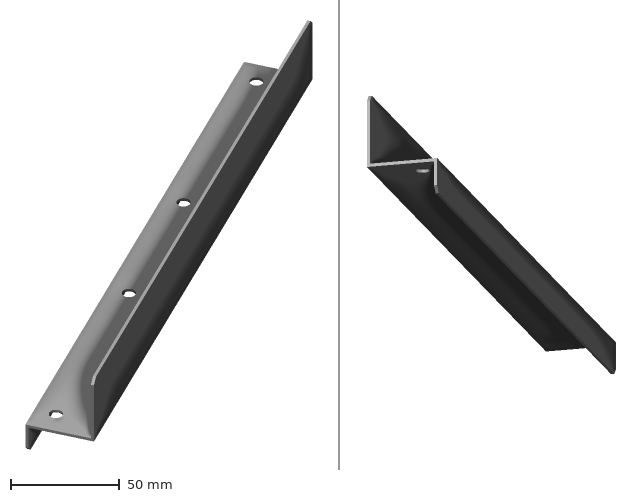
import cadquery as cq

length = 300.0
web_width = 33.5
total_height = 49.5

thickness = 1.5
lower_flange_height = 16.0
corner_chamfer = 3.0

hole_diameter = 6.5
hole_from_lower_flange = 10.5
inner_hole_pitch = 75.0
outer_hole_pitch = 275.0

half_length = length / 2
web_top = lower_flange_height
web_bottom = web_top - thickness


def z_section():
    """Sheet profile: lower flange down at the -X side, upper flange up at the +X side."""
    outline = [
        (0, 0),
        (thickness, 0),
        (thickness, web_bottom),
        (web_width, web_bottom),
        (web_width, total_height),
        (web_width - thickness, total_height),
        (web_width - thickness, web_top),
        (0, web_top),
    ]
    return cq.Workplane("XZ").polyline(outline).close().extrude(half_length, both=True)


def chamfer_free_corners(body):
    """Cut the corners at both ends of the free edge of each flange."""
    for free_edge in ("<Z", ">Z"):
        body = body.faces(free_edge).edges("|X").chamfer(corner_chamfer)
    return body


def drill_web(body):
    """Drill the through holes, placed symmetrically about the middle of the web."""
    centers = []
    for pitch in (inner_hole_pitch, outer_hole_pitch):
        for side in (-1, 1):
            centers.append((hole_from_lower_flange, side * pitch / 2))
    holes = (
        cq.Workplane("XY", origin=(0, 0, web_bottom))
        .pushPoints(centers)
        .circle(hole_diameter / 2)
        .extrude(thickness)
    )
    return body.cut(holes)


result = drill_web(chamfer_free_corners(z_section()))